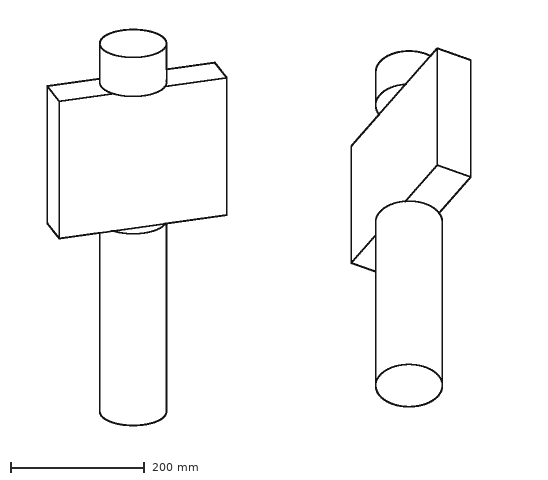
import cadquery as cq

total_height = 606.0
cylinder_diameter = 100.0

shaft_height = 316.0
plate_height = 226.0
cap_height = total_height - shaft_height - plate_height

plate_thickness = 57.5
plate_width = 264.0
plate_offset_y = 6.0


def cylinder(base_z, height):
    """Upright cylinder on the Z axis, starting at base_z."""
    return cq.Workplane("XY").workplane(offset=base_z).circle(cylinder_diameter / 2).extrude(height)


def plate(base_z):
    """Upright plate with its broad faces normal to X."""
    return (
        cq.Workplane("XY")
        .workplane(offset=base_z)
        .center(0, plate_offset_y)
        .rect(plate_thickness, plate_width)
        .extrude(plate_height)
    )


shaft = cylinder(0, shaft_height)
cap = cylinder(shaft_height + plate_height, cap_height)

result = shaft.union(plate(shaft_height)).union(cap)